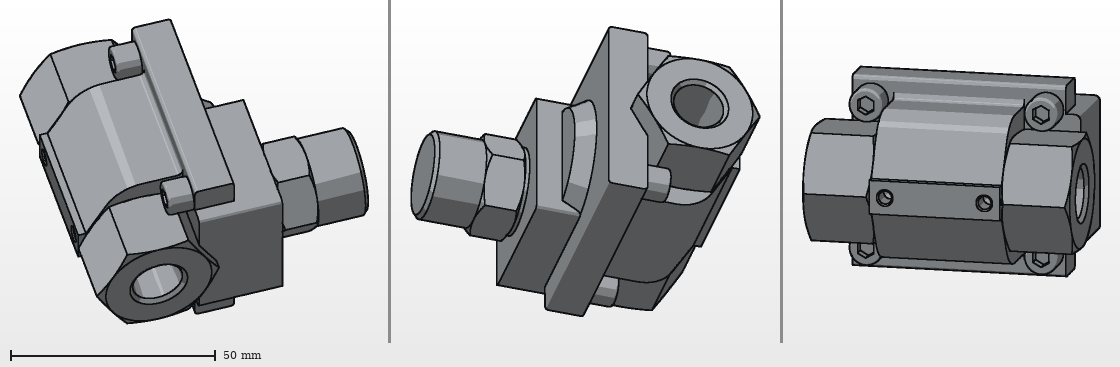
import cadquery as cq
import math


overall_length = 67.0
overall_depth = 72.1

COS_30 = math.cos(math.radians(30))

hex_flats = 27.0
hex_corner_drop = 0.8
hex_corner_radius = hex_flats / 2 / COS_30

body_length = 32.7
body_half_height = 18.5
body_shoulder_radius = 10.4
body_shoulder_y = 0.8
body_slope_angle = 60
foot_fillet = 1.5

bar_height = 8.4
bar_front_y = -15.4
bar_hole_diameter = 3.25
bar_countersink_diameter = 4.1
bar_hole_spacing = 24.95
bar_hole_depth = 6.0
drill_point_angle = 118

port_mouth_diameter = 14.7
port_diameter = 12.7
port_bottom_diameter = 11.7
port_depth = 16.6

plate_length = 53.55
plate_height = 48.0
plate_thickness = 10.0
plate_front_y = 11.25
plate_back_y = plate_front_y + plate_thickness
plate_fillet = 1.0

screw_spacing_x = 44.0
screw_spacing_z = 36.0
screw_head_diameter = 8.4
screw_head_height = 6.3
screw_head_fillet = 0.65
socket_flats = 4.05
socket_depth = 3.0

boss_base_radius = 16.8
boss_height = 4.75
boss_taper_angle = 30
boss_top_radius = boss_base_radius - boss_height * math.tan(math.radians(boss_taper_angle))

outlet_x = 13.5
block_size = 34.0
block_back_y = 32.5
block_fillet = 1.5
spigot_diameter = 22.0
spigot_chamfer = 1.0
spigot_end_y = overall_depth - hex_corner_radius
nut_flats = 22.0
nut_length = 10.0
nut_gap = 1.0
nut_corner_drop = 1.0


def chamfered_hexagon(across_flats, length, corner_drop):
    """Hexagonal bar along +Z, corners on X, with conical chamfers at both ends."""
    flat_radius = across_flats / 2
    corner_radius = flat_radius / COS_30
    bar = cq.Workplane("XY").polygon(6, 2 * corner_radius).extrude(length)
    envelope = (
        cq.Workplane("XZ")
        .moveTo(0, 0)
        .lineTo(flat_radius, 0)
        .lineTo(corner_radius, corner_drop)
        .lineTo(corner_radius, length - corner_drop)
        .lineTo(flat_radius, length)
        .lineTo(0, length)
        .close()
        .revolve(360, (0, 0, 0), (0, 1, 0))
    )
    return bar.intersect(envelope)


def facing_back(shape, x, y, z=0):
    """Turn a shape built along +Z to run along +Y, starting at the given point."""
    return shape.rotate((0, 0, 0), (1, 0, 0), -90).translate((x, y, z))


def body_middle():
    """Rounded, sloping section between the hexagons, with filleted feet on the plate."""
    shoulder_z = body_half_height - body_shoulder_radius

    def shoulder_point(angle):
        """Y and Z on the shoulder arc, at an angle from +Z towards -Y."""
        turn = math.radians(angle)
        y = body_shoulder_y - body_shoulder_radius * math.sin(turn)
        z = shoulder_z + body_shoulder_radius * math.cos(turn)
        return y, z

    middle = shoulder_point(body_slope_angle / 2)
    slope_start = shoulder_point(body_slope_angle)
    slope_end_z = bar_height / 2
    slope_drop = slope_start[1] - slope_end_z
    slope_end_y = slope_start[0] - slope_drop / math.tan(math.radians(body_slope_angle))
    foot_sag = foot_fillet * (1 - math.cos(math.radians(45)))
    foot_middle = (plate_front_y - foot_sag, body_half_height + foot_sag)
    upper_half = (
        cq.Workplane("YZ", origin=(-body_length / 2, 0, 0))
        .moveTo(plate_front_y, 0)
        .lineTo(plate_front_y, body_half_height + foot_fillet)
        .threePointArc(foot_middle, (plate_front_y - foot_fillet, body_half_height))
        .lineTo(body_shoulder_y, body_half_height)
        .threePointArc(middle, slope_start)
        .lineTo(slope_end_y, slope_end_z)
        .lineTo(bar_front_y, slope_end_z)
        .lineTo(bar_front_y, 0)
        .close()
        .extrude(body_length)
    )
    return upper_half.union(upper_half.mirror("XY"))


def bar_hole(x):
    """Cutter for a countersunk blind hole with a drill point, entering from the front."""
    radius = bar_hole_diameter / 2
    mouth_radius = bar_countersink_diameter / 2
    point_length = radius / math.tan(math.radians(drill_point_angle / 2))
    cutter = (
        cq.Workplane("XZ")
        .moveTo(0, 0)
        .lineTo(mouth_radius, 0)
        .lineTo(radius, mouth_radius - radius)
        .lineTo(radius, bar_hole_depth)
        .lineTo(0, bar_hole_depth + point_length)
        .close()
        .revolve(360, (0, 0, 0), (0, 1, 0))
    )
    return facing_back(cutter, x, bar_front_y)


def end_hexagon():
    """Hexagon on the -X end of the body."""
    length = (overall_length - body_length) / 2
    hexagon = chamfered_hexagon(hex_flats, length, hex_corner_drop)
    upright = hexagon.rotate((0, 0, 0), (0, 0, 1), 90)
    return upright.rotate((0, 0, 0), (0, 1, 0), 90).translate((-overall_length / 2, 0, 0))


def end_port():
    """Cutter for the tapered port with a 45 degree mouth in the -X end."""
    mouth_depth = (port_mouth_diameter - port_diameter) / 2
    return (
        cq.Workplane("XY", origin=(-overall_length / 2, 0, 0))
        .moveTo(0, 0)
        .lineTo(0, port_mouth_diameter / 2)
        .lineTo(mouth_depth, port_diameter / 2)
        .lineTo(port_depth, port_bottom_diameter / 2)
        .lineTo(port_depth, 0)
        .close()
        .revolve(360, (0, 0, 0), (1, 0, 0))
    )


def mounting_plate():
    """Plate with its long edges rounded."""
    return (
        cq.Workplane("XY")
        .box(plate_length, plate_thickness, plate_height)
        .edges("|X")
        .fillet(plate_fillet)
        .translate((0, plate_front_y + plate_thickness / 2, 0))
    )


def screw_head(x, z):
    """Socket cap head standing on the front of the plate."""
    head = (
        cq.Workplane("XY")
        .circle(screw_head_diameter / 2)
        .extrude(screw_head_height)
        .faces("<Z")
        .edges()
        .fillet(screw_head_fillet)
    )
    socket = cq.Workplane("XY").polygon(6, socket_flats / COS_30).extrude(socket_depth)
    head = head.cut(socket.rotate((0, 0, 0), (0, 0, 1), 90))
    return facing_back(head, x, plate_front_y - screw_head_height, z)


def conical_boss():
    """Truncated cone on the back of the plate."""
    cone = cq.Solid.makeCone(boss_base_radius, boss_top_radius, boss_height)
    return facing_back(cq.Workplane(cone), 0, plate_back_y)


def outlet_block():
    """Square block with rounded edges, level with the front of the plate."""
    depth = block_back_y - plate_front_y
    return (
        cq.Workplane("XY")
        .box(block_size, depth, block_size)
        .edges("|Y")
        .fillet(block_fillet)
        .translate((outlet_x, plate_front_y + depth / 2, 0))
    )


def outlet_fitting():
    """Chamfered spigot with a hexagon nut around it."""
    spigot = (
        cq.Workplane("XY")
        .circle(spigot_diameter / 2)
        .extrude(spigot_end_y - block_back_y)
        .faces(">Z")
        .chamfer(spigot_chamfer)
    )
    nut = chamfered_hexagon(nut_flats, nut_length, nut_corner_drop).translate((0, 0, nut_gap))
    return facing_back(spigot.union(nut), outlet_x, block_back_y)


result = body_middle().union(mounting_plate())
result = result.union(conical_boss()).union(outlet_block()).union(outlet_fitting())

hexagon_end = end_hexagon()
result = result.union(hexagon_end).union(hexagon_end.mirror("YZ"))

port = end_port()
result = result.cut(port).cut(port.mirror("YZ"))

for side in (-1, 1):
    result = result.cut(bar_hole(side * bar_hole_spacing / 2))
    for level in (-1, 1):
        result = result.union(screw_head(side * screw_spacing_x / 2, level * screw_spacing_z / 2))